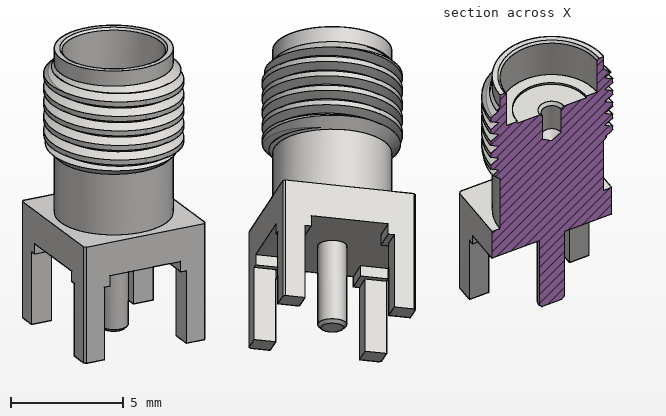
import cadquery as cq
import math

block_width = 6.1
block_corner_chamfer = 0.1
shoulder_height = 5.6
arch_height = 4.0
leg_step_height = 3.5
leg_size = 1.0
leg_step_projection = 0.28

total_height = 13.5
barrel_radius = 2.65
socket_radius = 2.3
socket_rim_chamfer = 0.1
socket_floor = total_height - 1.95
recess_radius = 1.75
recess_depth = 0.1

thread_radius = 3.12
thread_bottom = 8.52
thread_top = 12.77
thread_pitch = 0.7
thread_depth = 0.4
thread_half_angle = 30.0
groove_run_in = 0.33
groove_overcut = 0.1

pin_radius = 0.65
pin_bottom = 0.05
pin_tip_chamfer = 0.15
contact_bore_radius = 0.47
contact_mouth_radius = 0.61
contact_bore_depth = 1.5
contact_cone_half_angle = 59.0
contact_cone_depth = contact_bore_radius / math.tan(math.radians(contact_cone_half_angle))


def cylinder(radius, bottom, top):
    """Solid cylinder on the Z axis between two heights."""
    return cq.Workplane("XY").workplane(offset=bottom).circle(radius).extrude(top - bottom)


def make_base():
    """Square block undercut by stepped arches, leaving a leg at each corner."""
    base = cq.Workplane("XY").rect(block_width, block_width).extrude(shoulder_height)
    base = base.edges("|Z").chamfer(block_corner_chamfer)
    lower_half_gap = block_width / 2 - leg_size
    upper_half_gap = lower_half_gap - leg_step_projection
    arch_outline = [
        (-lower_half_gap, 0),
        (-lower_half_gap, leg_step_height),
        (-upper_half_gap, leg_step_height),
        (-upper_half_gap, arch_height),
        (upper_half_gap, arch_height),
        (upper_half_gap, leg_step_height),
        (lower_half_gap, leg_step_height),
        (lower_half_gap, 0),
    ]
    for plane in ("XZ", "YZ"):
        arch = cq.Workplane(plane).polyline(arch_outline).close().extrude(block_width, both=True)
        base = base.cut(arch)
    return base


def make_thread_groove():
    """V-shaped cutter swept along a left-hand helix through the thread band."""
    root_radius = thread_radius - thread_depth
    outer_radius = thread_radius + groove_overcut
    half_width = (outer_radius - root_radius) * math.tan(math.radians(thread_half_angle))
    helix_start = thread_bottom - groove_run_in
    helix_height = thread_top + thread_pitch - helix_start
    helix = cq.Wire.makeHelix(thread_pitch, helix_height, root_radius, lefthand=True)
    groove_profile = [
        (root_radius, 0),
        (outer_radius, half_width),
        (outer_radius, -half_width),
    ]
    groove = cq.Workplane("XZ").polyline(groove_profile).close().sweep(cq.Workplane(helix), isFrenet=True)
    return groove.translate((0, 0, helix_start))


def make_thread():
    """Threaded sleeve, bevelled at 45 degrees down to the barrel at both ends."""
    bar_bottom = thread_bottom - 2 * thread_pitch
    bar_top = thread_top + 2 * thread_pitch
    threaded_bar = cylinder(thread_radius, bar_bottom, bar_top).cut(make_thread_groove())
    sleeve = cylinder(thread_radius, thread_bottom, thread_top)
    sleeve = sleeve.faces("<Z or >Z").edges().chamfer(thread_radius - barrel_radius)
    return threaded_bar.intersect(sleeve)


def make_pin():
    """Solder pin of the centre contact, reaching up into the block."""
    pin = cylinder(pin_radius, pin_bottom, shoulder_height)
    return pin.faces("<Z").chamfer(pin_tip_chamfer)


def make_socket():
    """Cutter for the open end: rim chamfer, bore, shallow recess and drilled contact."""
    recess_floor = socket_floor - recess_depth
    bore_bottom = recess_floor - contact_bore_depth
    mouth_bottom = recess_floor - (contact_mouth_radius - contact_bore_radius)
    rim_radius = socket_radius + socket_rim_chamfer
    outline = [
        (0, total_height),
        (rim_radius, total_height),
        (socket_radius, total_height - socket_rim_chamfer),
        (socket_radius, socket_floor),
        (recess_radius, socket_floor),
        (recess_radius, recess_floor),
        (contact_mouth_radius, recess_floor),
        (contact_bore_radius, mouth_bottom),
        (contact_bore_radius, bore_bottom),
        (0, bore_bottom - contact_cone_depth),
    ]
    return cq.Workplane("XZ").polyline(outline).close().revolve(360, (0, 0, 0), (0, 1, 0))


barrel = cylinder(barrel_radius, shoulder_height, total_height)
result = make_base().union(make_pin()).union(barrel).union(make_thread()).cut(make_socket())